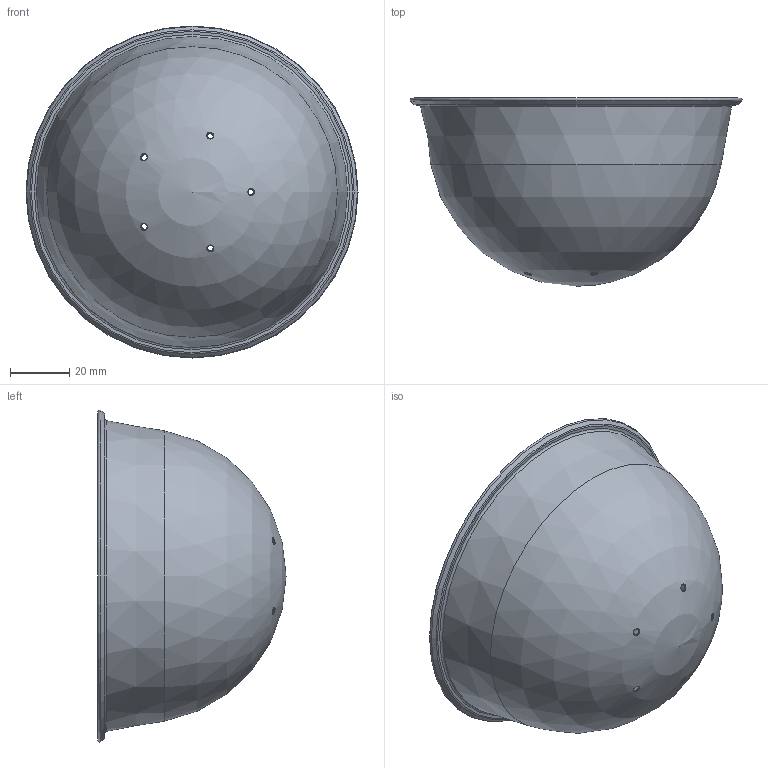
import cadquery as cq
import math

RIM_RADIUS = 56.0
DEPTH = 63.5

DOME_RADIUS = 49.75
DRAFT_ANGLE = math.radians(10.0)
WALL = 0.5

FLANGE_THICKNESS = 2.35
CHAMFER_ROUND = 0.7
RIM_ROUND = 0.6
ROOT_FILLET = 0.8

HOLE_COUNT = 5
HOLE_DIAMETER = 2.0
HOLE_CHAMFER = 0.25
HOLE_CIRCLE_RADIUS = 20.0
DRILL_OVERRUN = 1.0

DOME_CENTRE_Y = DOME_RADIUS - DEPTH


def skirt_radius(dome_radius, y):
    """Radius at position y of the cone tangent to a dome of the given radius."""
    return dome_radius / math.cos(DRAFT_ANGLE) + (y - DOME_CENTRE_Y) * math.tan(DRAFT_ANGLE)


def bowl_solid(dome_radius):
    """Solid dome with its tangent skirt, up to the rim face."""
    tangent_radius = dome_radius * math.cos(DRAFT_ANGLE)
    tangent_y = DOME_CENTRE_Y - dome_radius * math.sin(DRAFT_ANGLE)
    half_sweep = (math.pi / 2 - DRAFT_ANGLE) / 2
    arc_middle = (
        dome_radius * math.sin(half_sweep),
        DOME_CENTRE_Y - dome_radius * math.cos(half_sweep),
    )
    profile = (
        cq.Workplane("XY")
        .lineTo(skirt_radius(dome_radius, 0), 0)
        .lineTo(tangent_radius, tangent_y)
        .threePointArc(arc_middle, (0, DOME_CENTRE_Y - dome_radius))
        .close()
    )
    return profile.revolve(360, (0, 0, 0), (0, 1, 0))


def flange():
    """Solid rim disc: rounded outer edge, chamfer rounded into the underside, fillet into the skirt."""
    underside_y = -FLANGE_THICKNESS

    rim_centre = (RIM_RADIUS - RIM_ROUND, -RIM_ROUND)
    rim_start = (rim_centre[0], 0)
    rim_middle = (
        rim_centre[0] + RIM_ROUND * math.cos(math.pi / 8),
        rim_centre[1] + RIM_ROUND * math.sin(math.pi / 8),
    )
    rim_end = (
        rim_centre[0] + RIM_ROUND * math.cos(math.pi / 4),
        rim_centre[1] - RIM_ROUND * math.sin(math.pi / 4),
    )

    chamfer_corner = rim_end[0] - (rim_end[1] - underside_y)

    round_setback = CHAMFER_ROUND * math.tan(math.pi / 8)
    round_start = (
        chamfer_corner + round_setback * math.cos(math.pi / 4),
        underside_y + round_setback * math.sin(math.pi / 4),
    )
    round_centre = (chamfer_corner - round_setback, underside_y + CHAMFER_ROUND)
    round_middle = (
        round_centre[0] + CHAMFER_ROUND * math.sin(math.pi / 8),
        round_centre[1] - CHAMFER_ROUND * math.cos(math.pi / 8),
    )
    round_end = (round_centre[0], underside_y)

    fillet_y = underside_y - ROOT_FILLET
    fillet_x = skirt_radius(DOME_RADIUS, fillet_y) + ROOT_FILLET / math.cos(DRAFT_ANGLE)
    fillet_half = (math.pi / 2 - DRAFT_ANGLE) / 2
    fillet_middle = (
        fillet_x - ROOT_FILLET * math.sin(fillet_half),
        fillet_y + ROOT_FILLET * math.cos(fillet_half),
    )
    fillet_end = (
        fillet_x - ROOT_FILLET * math.cos(DRAFT_ANGLE),
        fillet_y + ROOT_FILLET * math.sin(DRAFT_ANGLE),
    )

    profile = (
        cq.Workplane("XY")
        .lineTo(*rim_start)
        .threePointArc(rim_middle, rim_end)
        .lineTo(*round_start)
        .threePointArc(round_middle, round_end)
        .lineTo(fillet_x, underside_y)
        .threePointArc(fillet_middle, fillet_end)
        .lineTo(0, fillet_end[1])
        .close()
    )
    return profile.revolve(360, (0, 0, 0), (0, 1, 0))


def vent_drill():
    """Drill along -Y with a 45 degree chamfering shoulder, overrunning both wall faces."""
    hole_radius = HOLE_DIAMETER / 2
    inner_end = DOME_CENTRE_Y - DOME_RADIUS + WALL + DRILL_OVERRUN
    chamfer_end = DOME_CENTRE_Y - DOME_RADIUS + HOLE_CHAMFER
    outer_end = DOME_CENTRE_Y - DOME_RADIUS - DRILL_OVERRUN
    shoulder_radius = hole_radius + (chamfer_end - outer_end)
    profile = (
        cq.Workplane("XY")
        .moveTo(0, inner_end)
        .lineTo(hole_radius, inner_end)
        .lineTo(hole_radius, chamfer_end)
        .lineTo(shoulder_radius, outer_end)
        .lineTo(0, outer_end)
        .close()
    )
    return profile.revolve(360, (0, 0, 0), (0, 1, 0))


def cut_vent_holes(body):
    """Cut the ring of vent holes, the first one towards +X."""
    tilt = math.degrees(math.asin(HOLE_CIRCLE_RADIUS / DOME_RADIUS))
    dome_centre = (0, DOME_CENTRE_Y, 0)
    tilt_axis_end = (0, DOME_CENTRE_Y, 1)
    tilted_drill = vent_drill().rotate(dome_centre, tilt_axis_end, tilt)
    for index in range(HOLE_COUNT):
        turn = index * 360 / HOLE_COUNT
        body = body.cut(tilted_drill.rotate((0, 0, 0), (0, 1, 0), turn))
    return body


outside = bowl_solid(DOME_RADIUS).union(flange())
cavity = bowl_solid(DOME_RADIUS - WALL)
result = cut_vent_holes(outside.cut(cavity))